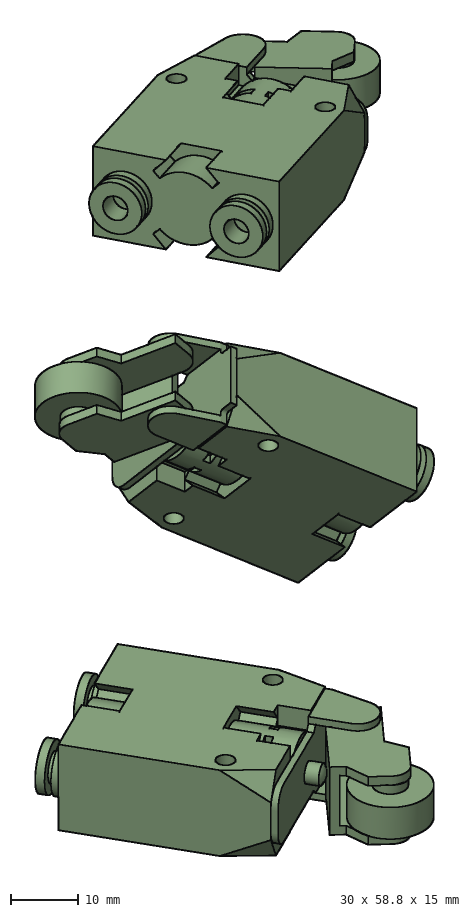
import cadquery as cq
import math


block_width = 30.0
block_length = 33.05
block_height = 15.0
half_width = block_width / 2
half_height = block_height / 2
corner_cut_x = 2.6
corner_cut_y = 8.0
corner_cut_z = 4.2
mount_hole_diameter = 3.0
mount_hole_x = 12.0
mount_hole_y = block_length - corner_cut_y

core_radius = 6.0
pocket_mouth_half_width = 3.25
pocket_corner = 5.3
front_pocket_length = 11.0
back_pocket_length = 5.95
opening_length = 5.15
opening_ledge_x = 4.5
notch_inner_x = 1.1
notch_outer_x = 4.0
notch_length = 1.3

port_x = 9.75
port_length = 3.95
port_diameter = 8.5
port_bore_diameter = 4.0
port_neck_diameter = 5.0
port_neck_length = 1.0
port_flange_length = (port_length - port_neck_length) / 2

plate_thickness = 1.1
plate_front = block_length + plate_thickness
plate_half_height = 5.05
plate_corner_radius = 3.0
plate_fillet = 0.5
ear_thickness = 1.25
ear_outer_z = 7.15
ear_inner_z = ear_outer_z - ear_thickness
ear_base_left_x = -12.45
pivot_x = -7.35
pivot_y = 39.7
pivot_radius = 3.35
ear_right_x = pivot_x + pivot_radius

plunger_radius = 1.75
plunger_straight = 2.25
plunger_dome_height = 0.65

lever_angle = 20
arm_thickness = 1.6
arm_inner_z = ear_inner_z - arm_thickness
arm_top_v = 3.65
neck_u = 6.4
head_left_u = 8.35
head_top_v = 7.2
head_right_u = 16.45
head_radius = 2.95
head_lower_v = 0.7
web_left_u = 1.95
web_right_u = 13.4
web_top_v = -pivot_radius
web_bottom_v = -4.9
web_corner_v = -2.4

roller_diameter = 13.0
roller_width = 5.5
boss_diameter = 5.4
roller_x = 4.1
overall_length = 58.75
roller_y = overall_length - port_length - roller_diameter / 2


def slab(outline, z_low, z_high):
    """Extrude an outline drawn in the XY plane from z_low to z_high."""
    return outline.extrude(z_high - z_low).translate((0, 0, z_low))


def box_between(x_range, y_range, z_range):
    """Box given by its low and high limits on each axis."""
    size = [high - low for low, high in (x_range, y_range, z_range)]
    corner = (x_range[0], y_range[0], z_range[0])
    return cq.Workplane("XY").box(*size, centered=False).translate(corner)


def both_sides(shape):
    """A shape together with its mirror image below the XY plane."""
    return shape.union(shape.mirror("XY"))


def along_y(y_start):
    """Workplane whose local axes are X and Z; positive extrusions run toward -Y."""
    return cq.Workplane("XZ", origin=(0, y_start, 0))


def corner_cut(side):
    """Prism that bevels the upper front corner of the block on one side (-1 or 1)."""
    start = (side * (half_width - corner_cut_x), block_length, half_height)
    normal = (side / corner_cut_x, 1 / corner_cut_y, 1 / corner_cut_z)
    bevel = cq.Workplane(cq.Plane(origin=start, normal=normal))
    return bevel.circle(2 * corner_cut_y).extrude(corner_cut_x)


def core_pocket(y_start, length):
    """Pocket over the core, bounded by 45 degree radial walls and closing in toward its mouth."""
    core_edge = core_radius * math.sqrt(0.5)
    return (
        along_y(y_start)
        .moveTo(-core_edge, core_edge)
        .threePointArc((0, core_radius), (core_edge, core_edge))
        .lineTo(pocket_corner, pocket_corner)
        .lineTo(pocket_mouth_half_width, half_height)
        .lineTo(-pocket_mouth_half_width, half_height)
        .lineTo(-pocket_corner, pocket_corner)
        .close()
        .extrude(-length)
    )


def front_opening():
    """Wide opening at the front, which leaves the core and a flat ledge on either side of it."""
    ledge_z = math.sqrt(core_radius**2 - opening_ledge_x**2)
    return (
        along_y(block_length - opening_length)
        .moveTo(-opening_ledge_x, ledge_z)
        .threePointArc((0, core_radius), (opening_ledge_x, ledge_z))
        .lineTo(pocket_corner, ledge_z)
        .lineTo(pocket_corner, half_height)
        .lineTo(-pocket_corner, half_height)
        .lineTo(-pocket_corner, ledge_z)
        .close()
        .extrude(-opening_length)
    )


def core_notch(side):
    """Flat-bottomed notch in the core, running out at the side of the core."""
    floor_z = math.sqrt(core_radius**2 - notch_outer_x**2)
    x_range = sorted((side * notch_inner_x, side * notch_outer_x))
    y_start = block_length - opening_length
    return box_between(x_range, (y_start, y_start + notch_length), (floor_z, core_radius))


def block():
    """Block with its pockets, bevelled corners and mounting holes."""
    body = box_between((-half_width, half_width), (0, block_length), (-half_height, half_height))
    cuts = [
        core_pocket(block_length - front_pocket_length, front_pocket_length - opening_length),
        core_pocket(0, back_pocket_length),
        front_opening(),
    ]
    for side in (-1, 1):
        cuts.append(corner_cut(side))
        cuts.append(core_notch(side))
    for cut in cuts:
        body = body.cut(both_sides(cut))
    holes = (
        cq.Workplane("XY")
        .pushPoints([(-mount_hole_x, mount_hole_y), (mount_hole_x, mount_hole_y)])
        .circle(mount_hole_diameter / 2)
        .extrude(half_height, both=True)
    )
    return body.cut(holes)


def port(x):
    """Push-in port: two flanges with a neck between them."""
    spool = along_y(0).circle(port_diameter / 2).extrude(port_flange_length)
    spool = spool.faces("<Y").workplane().circle(port_neck_diameter / 2).extrude(port_neck_length)
    spool = spool.faces("<Y").workplane().circle(port_diameter / 2).extrude(port_flange_length)
    return spool.translate((x, 0, 0))


def port_bore(x):
    """Bore along the full length of a port."""
    return along_y(0).center(x, 0).circle(port_bore_diameter / 2).extrude(port_length)


def bracket_plate():
    """Front plate with rounded right corners, taller where it carries the ears."""
    fillet_middle = plate_fillet * (1 - math.sqrt(0.5))
    round_middle = plate_corner_radius * (1 - math.sqrt(0.5))
    bend = ear_inner_z - plate_half_height
    upper_half = (
        along_y(block_length)
        .moveTo(-half_width, 0)
        .lineTo(-half_width, plate_half_height)
        .lineTo(ear_base_left_x - plate_fillet, plate_half_height)
        .threePointArc(
            (ear_base_left_x - fillet_middle, plate_half_height + fillet_middle),
            (ear_base_left_x, plate_half_height + plate_fillet),
        )
        .lineTo(ear_base_left_x, ear_outer_z)
        .lineTo(ear_right_x, ear_outer_z)
        .lineTo(ear_right_x, ear_inner_z)
        .lineTo(ear_right_x + bend, plate_half_height)
        .lineTo(half_width - plate_corner_radius, plate_half_height)
        .threePointArc(
            (half_width - round_middle, plate_half_height - round_middle),
            (half_width, plate_half_height - plate_corner_radius),
        )
        .lineTo(half_width, 0)
        .close()
        .extrude(-plate_thickness)
    )
    return both_sides(upper_half)


def ear():
    """Upper ear: a straight right edge, a round end about the pivot and a sloping left edge."""
    base_dx = ear_base_left_x - pivot_x
    base_dy = plate_front - pivot_y
    base_distance = math.hypot(base_dx, base_dy)
    tangent_angle = math.atan2(base_dy, base_dx) - math.acos(pivot_radius / base_distance)
    tangent_x = pivot_x + pivot_radius * math.cos(tangent_angle)
    tangent_y = pivot_y + pivot_radius * math.sin(tangent_angle)
    outline = (
        cq.Workplane("XY")
        .moveTo(ear_base_left_x, plate_front)
        .lineTo(ear_right_x, plate_front)
        .lineTo(ear_right_x, pivot_y)
        .threePointArc((pivot_x, pivot_y + pivot_radius), (tangent_x, tangent_y))
        .close()
    )
    return slab(outline, ear_inner_z, ear_outer_z)


def plunger():
    """Pin with a domed end, revolved about the Y axis."""
    dome_radius = (plunger_radius**2 + plunger_dome_height**2) / (2 * plunger_dome_height)
    edge_y = plate_front + plunger_straight
    tip_y = edge_y + plunger_dome_height
    half_sweep = math.asin(plunger_radius / dome_radius) / 2
    dome_middle = (
        dome_radius * math.sin(half_sweep),
        tip_y - dome_radius * (1 - math.cos(half_sweep)),
    )
    return (
        cq.Workplane("XY")
        .moveTo(0, block_length)
        .lineTo(plunger_radius, block_length)
        .lineTo(plunger_radius, edge_y)
        .threePointArc(dome_middle, (0, tip_y))
        .close()
        .revolve(360, (0, 0, 0), (0, 1, 0))
    )


def make_housing():
    """Block with its two bored ports."""
    body = block()
    for x in (-port_x, port_x):
        body = body.union(port(x)).cut(port_bore(x))
    return body


def lever_arm():
    """Upper arm of the lever, in the lever frame."""
    pivot_middle = pivot_radius * math.sqrt(0.5)
    head_middle = head_radius * (1 - math.sqrt(0.5))
    outline = (
        cq.Workplane("XY")
        .moveTo(-pivot_radius, arm_top_v)
        .lineTo(-pivot_radius, 0)
        .threePointArc((-pivot_middle, -pivot_middle), (0, -pivot_radius))
        .lineTo(web_left_u, web_top_v)
        .lineTo(web_left_u, web_bottom_v)
        .lineTo(web_right_u, web_bottom_v)
        .lineTo(web_right_u, web_corner_v)
        .lineTo(head_right_u, head_lower_v)
        .lineTo(head_right_u, head_top_v - head_radius)
        .threePointArc(
            (head_right_u - head_middle, head_top_v - head_middle),
            (head_right_u - head_radius, head_top_v),
        )
        .lineTo(head_left_u, head_top_v)
        .lineTo(neck_u, arm_top_v)
        .close()
    )
    return slab(outline, arm_inner_z, ear_inner_z)


def lever_frame():
    """U-shaped lever turned to its place between the ears."""
    web = box_between(
        (web_left_u, web_right_u), (web_bottom_v, web_top_v), (-ear_inner_z, ear_inner_z)
    )
    frame = both_sides(lever_arm()).union(web)
    return frame.rotate((0, 0, 0), (0, 0, 1), lever_angle).translate((pivot_x, pivot_y, 0))


def roller():
    """Roller with a boss on each side, filling the gap between the arms."""
    outline = cq.Workplane("XY").center(roller_x, roller_y)
    boss = slab(outline.circle(boss_diameter / 2), -arm_inner_z, arm_inner_z)
    wheel = slab(outline.circle(roller_diameter / 2), -roller_width / 2, roller_width / 2)
    return wheel.union(boss)


def make_actuator():
    """Bracket, plunger, lever and roller, joined into one piece on the front of the block."""
    bracket = bracket_plate().union(both_sides(ear()))
    return bracket.union(plunger()).union(lever_frame()).union(roller())


housing = make_housing()
actuator = make_actuator()

result = cq.Compound.makeCompound([*housing.solids().vals(), *actuator.solids().vals()])